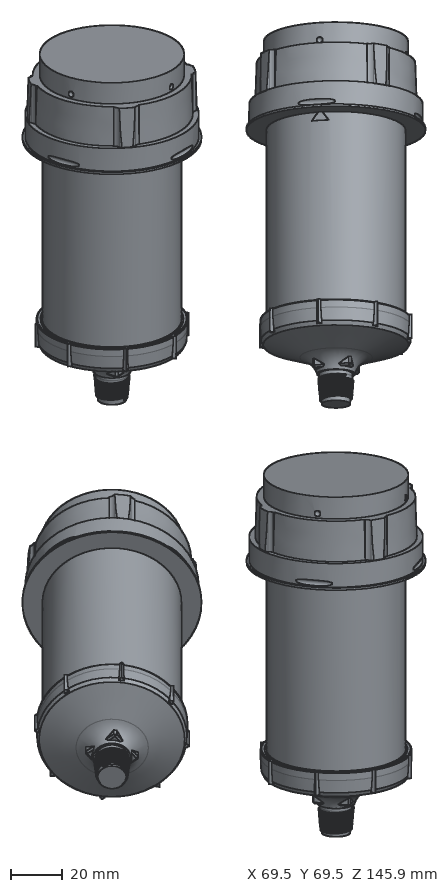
import cadquery as cq
import math

TOTAL_HEIGHT = 145.9
SHOULDER_Z = 137.0
SKIRT_TOP_Z = 120.6
FLANGE_TOP_Z = 111.0
FLANGE_BOTTOM_Z = 110.1
RING_TOP_Z = 34.1
RING_BAND_Z = 30.9
RING_EDGE_Z = 25.7
RING_BOTTOM_Z = 23.9
CONE_BOTTOM_Z = 18.8
NECK_TOP_Z = 12.1
THREAD_TOP_Z = 10.8

HEAD_DIAMETER = 56.0
COLLAR_RADIUS = 31.4
LOBE_RADIUS = 33.1
LOBE_TIP_HALF_WIDTH = 2.8
LOBE_TIP_FILLET = 1.8
LOBE_ROOT_HALF_WIDTH = 5.0
LOBE_FLANK_SAG = 0.3
COLLAR_DRAFT = 2.0
SKIRT_RADIUS = 33.7
FLANGE_DIAMETER = 69.5
DIMPLE_RADIUS = 1.2
DIMPLE_Z = 138.9
SLOT_RADIUS = 1.2
SLOT_DEPTH = 0.8
SLOT_Z = 112.5
SIDE_COUNT = 4

TUBE_DIAMETER = 54.0
RING_RADIUS = 29.3
RING_EDGE_RADIUS = 29.0
RING_TOP_CHAMFER = 0.5
CONE_TOP_RADIUS = 28.2
CONE_BOTTOM_RADIUS = 14.0
FLARE_MID_RADIUS = 9.3
FLARE_MID_Z = 15.9
FLARE_BOTTOM_RADIUS = 7.3
NECK_DIAMETER = 13.0
NIPPLE_END_RADIUS = 5.5
GROOVE_WIDTH = 0.7
GROOVE_DEPTH = 0.3
RIB_COUNT = 8
RIB_HALF_WIDTH = 1.0
RIB_REACH = 30.2
RIB_BOTTOM_Z = 24.7
SQUARE_WIDTH = 15.2
SQUARE_BOTTOM_Z = 13.4
SQUARE_TOP_Z = 17.8
SQUARE_CHAMFER = 0.7
MARK_WIDTH = 6.7
MARK_FOOT_Z = 106.8
MARK_TOP_WIDTH = 1.8
MARK_HEIGHT = 0.1

THREAD_PITCH = 1.34
THREAD_BOTTOM_Z = 0.9
THREAD_HEIGHT = 0.6
THREAD_BASE_WIDTH = 1.0
THREAD_CREST_WIDTH = 0.3
THREAD_ROOT_OVERLAP = 0.22


def cylinder(radius, bottom, top):
    """Upright cylinder on the Z axis between two levels."""
    return cq.Workplane("XY").workplane(offset=bottom).circle(radius).extrude(top - bottom)


def repeat_around(shape, count, start_angle=0.0):
    """Copies of a shape spread evenly about the Z axis, gathered in one workplane."""
    copies = cq.Workplane("XY")
    for index in range(count):
        angle = start_angle + index * 360.0 / count
        copies = copies.add(shape.rotate((0, 0, 0), (0, 0, 1), angle).vals())
    return copies.combine()


def drafted_disc(radius):
    """Disc of the collar's height whose wall leans inward toward the top."""
    return (
        cq.Workplane("XY")
        .workplane(offset=SKIRT_TOP_Z)
        .circle(radius)
        .extrude(SHOULDER_Z - SKIRT_TOP_Z, taper=COLLAR_DRAFT)
    )


def collar_lobe():
    """Grip lobe on the +X side: a rounded tip with hollow flanks, wider at its root."""
    root_x = math.sqrt(COLLAR_RADIUS**2 - LOBE_ROOT_HALF_WIDTH**2)
    flank_x = (root_x + LOBE_RADIUS) / 2 - LOBE_FLANK_SAG
    flank_y = (LOBE_ROOT_HALF_WIDTH + LOBE_TIP_HALF_WIDTH) / 2 - LOBE_FLANK_SAG
    prism = (
        cq.Workplane("XY")
        .workplane(offset=SKIRT_TOP_Z)
        .moveTo(0, -LOBE_ROOT_HALF_WIDTH)
        .lineTo(root_x, -LOBE_ROOT_HALF_WIDTH)
        .threePointArc((flank_x, -flank_y), (LOBE_RADIUS, -LOBE_TIP_HALF_WIDTH))
        .lineTo(LOBE_RADIUS, LOBE_TIP_HALF_WIDTH)
        .threePointArc((flank_x, flank_y), (root_x, LOBE_ROOT_HALF_WIDTH))
        .lineTo(0, LOBE_ROOT_HALF_WIDTH)
        .close()
        .extrude(SHOULDER_Z - SKIRT_TOP_Z)
    )
    rounded = prism.edges("|Z and >X").fillet(LOBE_TIP_FILLET)
    return rounded.intersect(drafted_disc(LOBE_RADIUS))


def make_collar():
    """Drafted gripping collar with a lobe on each diagonal."""
    return drafted_disc(COLLAR_RADIUS).union(repeat_around(collar_lobe(), SIDE_COUNT, 45.0))


def make_cap():
    """Cap: round head, gripping collar, skirt and thin bottom flange."""
    head_radius = HEAD_DIAMETER / 2
    cap = cylinder(head_radius, FLANGE_BOTTOM_Z, TOTAL_HEIGHT)
    cap = cap.union(make_collar())
    cap = cap.union(cylinder(SKIRT_RADIUS, FLANGE_BOTTOM_Z, SKIRT_TOP_Z))
    cap = cap.union(cylinder(FLANGE_DIAMETER / 2, FLANGE_BOTTOM_Z, FLANGE_TOP_Z))

    dimple = cq.Workplane("XY").sphere(DIMPLE_RADIUS).translate((head_radius, 0, DIMPLE_Z))
    cap = cap.cut(repeat_around(dimple, SIDE_COUNT))

    slot_axis_x = SKIRT_RADIUS - SLOT_DEPTH + SLOT_RADIUS
    slot = (
        cq.Workplane("XZ")
        .center(slot_axis_x, SLOT_Z)
        .circle(SLOT_RADIUS)
        .extrude(SKIRT_RADIUS / 2, both=True)
    )
    return cap.cut(repeat_around(slot, SIDE_COUNT))


def canister_body():
    """Turned shape of tube, foot ring, cone, flare and tapered nipple."""
    tube_radius = TUBE_DIAMETER / 2
    neck_radius = NECK_DIAMETER / 2
    return (
        cq.Workplane("XZ")
        .moveTo(0, 0)
        .lineTo(NIPPLE_END_RADIUS, 0)
        .lineTo(neck_radius, THREAD_TOP_Z)
        .lineTo(neck_radius, NECK_TOP_Z)
        .lineTo(FLARE_BOTTOM_RADIUS, NECK_TOP_Z)
        .threePointArc((FLARE_MID_RADIUS, FLARE_MID_Z), (CONE_BOTTOM_RADIUS, CONE_BOTTOM_Z))
        .lineTo(CONE_TOP_RADIUS, RING_BOTTOM_Z)
        .lineTo(RING_EDGE_RADIUS, RING_EDGE_Z)
        .lineTo(RING_RADIUS, RING_BAND_Z)
        .lineTo(RING_RADIUS, RING_TOP_Z - RING_TOP_CHAMFER)
        .lineTo(RING_RADIUS - RING_TOP_CHAMFER, RING_TOP_Z)
        .lineTo(tube_radius + GROOVE_WIDTH, RING_TOP_Z)
        .lineTo(tube_radius + GROOVE_WIDTH, RING_TOP_Z - GROOVE_DEPTH)
        .lineTo(tube_radius, RING_TOP_Z - GROOVE_DEPTH)
        .lineTo(tube_radius, FLANGE_BOTTOM_Z)
        .lineTo(0, FLANGE_BOTTOM_Z)
        .close()
        .revolve(360, (0, 0, 0), (0, 1, 0))
    )


def ring_ribs():
    """Upright ribs of wedge section spaced around the foot ring."""
    root_x = math.sqrt(RING_EDGE_RADIUS**2 - RIB_HALF_WIDTH**2)
    inner_x = CONE_TOP_RADIUS
    rib = (
        cq.Workplane("XY")
        .workplane(offset=RIB_BOTTOM_Z)
        .polyline([
            (inner_x, -RIB_HALF_WIDTH),
            (root_x, -RIB_HALF_WIDTH),
            (RIB_REACH, 0),
            (root_x, RIB_HALF_WIDTH),
            (inner_x, RIB_HALF_WIDTH),
        ])
        .close()
        .extrude(RING_TOP_Z - RIB_BOTTOM_Z)
    )
    return repeat_around(rib, RIB_COUNT)


def wrench_square():
    """Square block whose corners stand out of the flare."""
    return (
        cq.Workplane("XY")
        .workplane(offset=SQUARE_BOTTOM_Z)
        .rect(SQUARE_WIDTH, SQUARE_WIDTH)
        .extrude(SQUARE_TOP_Z - SQUARE_BOTTOM_Z)
        .edges("|Z or <Z")
        .chamfer(SQUARE_CHAMFER)
    )


def alignment_mark():
    """Thin raised arrowhead on the -X side of the tube, running up to the cap."""
    tube_radius = TUBE_DIAMETER / 2
    outline = (
        cq.Workplane("YZ")
        .polyline([
            (-MARK_WIDTH / 2, MARK_FOOT_Z),
            (MARK_WIDTH / 2, MARK_FOOT_Z),
            (MARK_TOP_WIDTH / 2, FLANGE_BOTTOM_Z),
            (-MARK_TOP_WIDTH / 2, FLANGE_BOTTOM_Z),
        ])
        .close()
        .extrude(-FLANGE_DIAMETER / 2)
    )
    return outline.intersect(cylinder(tube_radius + MARK_HEIGHT, MARK_FOOT_Z, FLANGE_BOTTOM_Z))


def nipple_thread():
    """Helical ridge that follows the taper of the nipple."""
    taper = math.atan((NECK_DIAMETER / 2 - NIPPLE_END_RADIUS) / THREAD_TOP_Z)
    start_radius = NIPPLE_END_RADIUS + THREAD_BOTTOM_Z * math.tan(taper)
    height = THREAD_TOP_Z - THREAD_BOTTOM_Z - THREAD_BASE_WIDTH
    start_z = THREAD_BOTTOM_Z + THREAD_BASE_WIDTH / 2
    helix = cq.Wire.makeHelix(THREAD_PITCH, height, start_radius, angle=math.degrees(taper))
    ridge = (
        cq.Workplane("XZ")
        .polyline([
            (start_radius - THREAD_ROOT_OVERLAP, -THREAD_BASE_WIDTH / 2),
            (start_radius + THREAD_HEIGHT, -THREAD_CREST_WIDTH / 2),
            (start_radius + THREAD_HEIGHT, THREAD_CREST_WIDTH / 2),
            (start_radius - THREAD_ROOT_OVERLAP, THREAD_BASE_WIDTH / 2),
        ])
        .close()
        .sweep(cq.Workplane("XY").add(helix), isFrenet=True)
    )
    return ridge.translate((0, 0, start_z))


def make_canister():
    """Canister: tube and ribbed foot with a threaded outlet nipple."""
    canister = canister_body().union(ring_ribs())
    canister = canister.union(wrench_square())
    canister = canister.union(alignment_mark())
    return canister.union(nipple_thread())


cap = make_cap()
canister = make_canister()
result = cq.Compound.makeCompound([cap.solids().val(), canister.solids().val()])